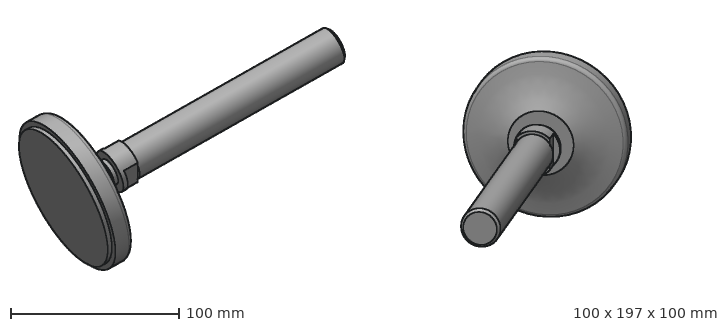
import cadquery as cq
import math

total_length = 197.0
pad_top = 3.0
rim_top = 12.6
foot_top = 26.2
neck_bottom = 31.0
collar_bottom = 33.9
flats_bottom = 37.0
collar_top = 47.0

pad_diameter = 92.5
foot_diameter = 100.0
foot_top_diameter = 40.0
joint_diameter = 22.5
neck_diameter = 17.0
collar_diameter = 28.0
width_across_flats = 19.9
rod_diameter = 24.0
rod_chamfer = 1.8

rim_radius = 3.2
shoulder_slope = math.radians(15)
shoulder_sag = 1.5


def make_foot():
    """Round foot with a recessed pad and a concave upper face."""
    pad_radius = pad_diameter / 2
    foot_radius = foot_diameter / 2
    top_radius = foot_top_diameter / 2
    rim_center = foot_radius - rim_radius

    def rim_point(angle):
        return (
            rim_center + rim_radius * math.cos(angle),
            rim_top + rim_radius * math.sin(angle),
        )

    rim_end_angle = math.pi / 2 - shoulder_slope
    rim_end = rim_point(rim_end_angle)

    chord_x = rim_end[0] - top_radius
    chord_y = foot_top - rim_end[1]
    chord_length = math.hypot(chord_x, chord_y)
    shoulder_middle = (
        (rim_end[0] + top_radius) / 2 - shoulder_sag * chord_y / chord_length,
        (rim_end[1] + foot_top) / 2 - shoulder_sag * chord_x / chord_length,
    )

    profile = (
        cq.Workplane("XY")
        .lineTo(pad_radius, 0)
        .lineTo(pad_radius, pad_top)
        .lineTo(foot_radius, pad_top)
        .lineTo(foot_radius, rim_top)
        .threePointArc(rim_point(rim_end_angle / 2), rim_end)
        .threePointArc(shoulder_middle, (top_radius, foot_top))
        .lineTo(0, foot_top)
        .close()
    )
    return profile.revolve(360, (0, 0), (0, 1))


def make_spindle():
    """Flared joint, neck, wrench collar and chamfered rod in one turning."""
    neck_radius = neck_diameter / 2
    collar_radius = collar_diameter / 2
    rod_radius = rod_diameter / 2
    profile = (
        cq.Workplane("XY")
        .moveTo(0, pad_top)
        .lineTo(joint_diameter / 2, pad_top)
        .lineTo(joint_diameter / 2, foot_top)
        .lineTo(neck_radius, neck_bottom)
        .lineTo(neck_radius, collar_bottom)
        .lineTo(collar_radius, collar_bottom)
        .lineTo(collar_radius, collar_top)
        .lineTo(rod_radius, collar_top)
        .lineTo(rod_radius, total_length - rod_chamfer)
        .lineTo(rod_radius - rod_chamfer, total_length)
        .lineTo(0, total_length)
        .close()
    )
    return profile.revolve(360, (0, 0), (0, 1))


def cut_wrench_flats(body):
    """Cut two parallel flats into the collar, facing -X and +X."""
    flats_length = collar_top - flats_bottom
    for side in (-1, 1):
        cutter = cq.Workplane("XY").box(collar_diameter, flats_length, collar_diameter)
        cutter_x = side * (width_across_flats + collar_diameter) / 2
        body = body.cut(cutter.translate((cutter_x, flats_bottom + flats_length / 2, 0)))
    return body


result = make_foot().union(cut_wrench_flats(make_spindle()))